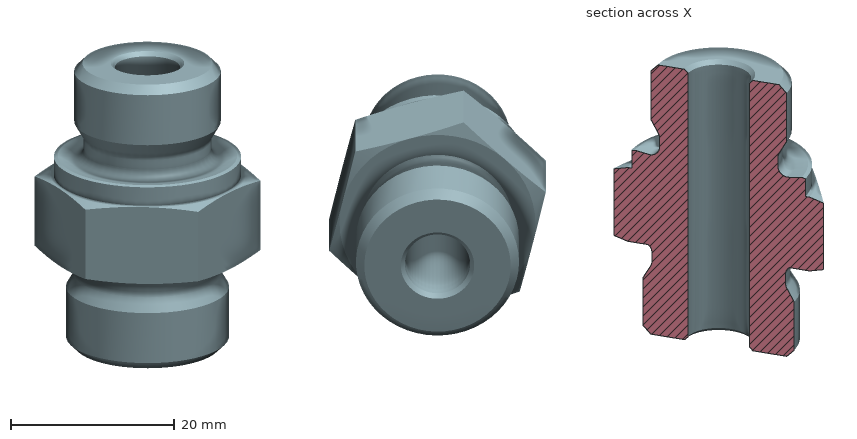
import cadquery as cq
import math

stem_length = 12.0
collar_height = 2.5
hex_height = 10.0
hex_across_flats = 24.0
hex_chamfer_angle = math.radians(15)

upper_thread_diameter = 18.0
upper_neck_diameter = 15.7
lower_thread_diameter = 20.0
lower_neck_diameter = 17.7
thread_end_chamfer = 1.02
thread_end_distance = 7.52
runout_angle = math.radians(30)
neck_fillet_radius = 1.2

collar_diameter = 23.0
seal_edge_diameter = 22.0
seal_edge_drop = 0.1
dish_angle = math.radians(8)

bore_diameter = 8.0
bore_chamfer = 0.5

hex_top = stem_length + hex_height
collar_top = hex_top + collar_height
total_height = collar_top + stem_length
hex_corner_diameter = hex_across_flats / math.cos(math.pi / 6)


def revolve_profile(profile):
    """Close a profile drawn as (radius, height) and turn it about Z."""
    return profile.close().revolve(360, (0, 0, 0), (0, 1, 0))


def stem_to_neck(thread_radius, neck_radius):
    """Open profile from the free end at height 0, over the thread, to the start of the neck."""
    blend_depth = neck_fillet_radius * (1 - math.cos(runout_angle))
    blend_height = neck_fillet_radius * math.sin(runout_angle)
    cone_end_radius = neck_radius + blend_depth
    cone_end = thread_end_distance + (thread_radius - cone_end_radius) / math.tan(runout_angle)
    neck_start = cone_end + blend_height
    half_angle = runout_angle / 2
    blend_middle = (
        neck_radius + neck_fillet_radius * (1 - math.cos(half_angle)),
        neck_start - neck_fillet_radius * math.sin(half_angle),
    )
    profile = (
        cq.Workplane("XZ")
        .moveTo(0, 0)
        .lineTo(thread_radius - thread_end_chamfer, 0)
        .lineTo(thread_radius, thread_end_chamfer)
        .lineTo(thread_radius, thread_end_distance)
        .lineTo(cone_end_radius, cone_end)
        .threePointArc(blend_middle, (neck_radius, neck_start))
    )
    return profile


def root_fillet_point(neck_radius, center_height, turn):
    """Point on the fillet at the neck root after turning away from the neck wall."""
    return (
        neck_radius + neck_fillet_radius * (1 - math.cos(turn)),
        center_height + neck_fillet_radius * math.sin(turn),
    )


upper_neck_radius = upper_neck_diameter / 2
seal_edge_radius = seal_edge_diameter / 2
root_turn = math.pi / 2 + dish_angle
dish_inner_radius = upper_neck_radius + neck_fillet_radius * (1 - math.cos(root_turn))
dish_depth = (seal_edge_radius - dish_inner_radius) * math.tan(dish_angle)
root_center = stem_length + dish_depth - neck_fillet_radius * math.sin(root_turn)


def make_upper_end():
    """Upper stem and collar in one turned profile, built upside down and then flipped."""
    profile = stem_to_neck(upper_thread_diameter / 2, upper_neck_radius)
    collar_radius = collar_diameter / 2
    collar_base = stem_length + collar_height
    profile = (
        profile.lineTo(upper_neck_radius, root_center)
        .threePointArc(
            root_fillet_point(upper_neck_radius, root_center, root_turn / 2),
            root_fillet_point(upper_neck_radius, root_center, root_turn),
        )
        .lineTo(seal_edge_radius, stem_length)
        .lineTo(collar_radius, stem_length + seal_edge_drop)
        .lineTo(collar_radius, collar_base)
        .lineTo(0, collar_base)
    )
    upper_end = revolve_profile(profile)
    return upper_end.rotate((0, 0, 0), (1, 0, 0), 180).translate((0, 0, total_height))


def make_lower_end():
    """Lower stem; its root fillet runs out into the underside of the hexagon."""
    neck_radius = lower_neck_diameter / 2
    profile = stem_to_neck(lower_thread_diameter / 2, neck_radius)
    face_turn = math.asin((stem_length - root_center) / neck_fillet_radius)
    profile = (
        profile.lineTo(neck_radius, root_center)
        .threePointArc(
            root_fillet_point(neck_radius, root_center, face_turn / 2),
            root_fillet_point(neck_radius, root_center, face_turn),
        )
        .lineTo(0, stem_length)
    )
    return revolve_profile(profile)


def make_hexagon():
    """Hexagon with corners on Y, its corners turned off by a cone at both ends."""
    hexagon = (
        cq.Workplane("XY", origin=(0, 0, stem_length))
        .polygon(6, hex_corner_diameter)
        .extrude(hex_height)
        .rotate((0, 0, 0), (0, 0, 1), 30)
    )
    flat_radius = hex_across_flats / 2
    rim_radius = hex_corner_diameter / 2
    corner_drop = (rim_radius - flat_radius) * math.tan(hex_chamfer_angle)
    envelope = revolve_profile(
        cq.Workplane("XZ")
        .moveTo(0, stem_length)
        .lineTo(flat_radius, stem_length)
        .lineTo(rim_radius, stem_length + corner_drop)
        .lineTo(rim_radius, hex_top - corner_drop)
        .lineTo(flat_radius, hex_top)
        .lineTo(0, hex_top)
    )
    return hexagon.intersect(envelope)


def make_bore():
    """Through bore, chamfered at both mouths."""
    bore_radius = bore_diameter / 2
    mouth_radius = bore_radius + bore_chamfer
    return revolve_profile(
        cq.Workplane("XZ")
        .moveTo(0, 0)
        .lineTo(mouth_radius, 0)
        .lineTo(bore_radius, bore_chamfer)
        .lineTo(bore_radius, total_height - bore_chamfer)
        .lineTo(mouth_radius, total_height)
        .lineTo(0, total_height)
    )


result = make_hexagon().union(make_lower_end()).union(make_upper_end()).cut(make_bore())